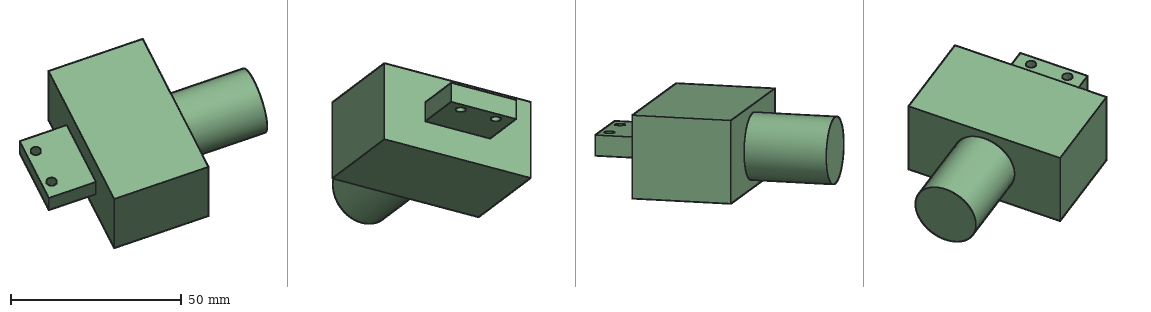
import cadquery as cq

total_length = 70.0

body_width = 50.0
body_length = 30.0
body_height = 25.0

shaft_diameter = 20.0

tab_width = 22.2
tab_length = 15.0
tab_height = 6.2

hole_diameter = 3.0
hole_spacing = 12.0
hole_end_distance = 3.0

shaft_length = total_length - body_length - tab_length
body_front = -body_length / 2
body_back = body_length / 2
tab_end = body_front - tab_length


def make_body():
    return cq.Workplane("XY").box(body_width, body_length, body_height)


def make_shaft():
    plane = cq.Workplane("XZ", origin=(0, body_back, 0))
    return plane.circle(shaft_diameter / 2).extrude(-shaft_length)


def make_tab():
    plane = cq.Workplane("XZ", origin=(0, body_front, 0))
    tab = plane.rect(tab_width, tab_height).extrude(tab_length)
    holes = (
        cq.Workplane("XY", origin=(0, tab_end + hole_end_distance, 0))
        .pushPoints([(-hole_spacing / 2, 0), (hole_spacing / 2, 0)])
        .circle(hole_diameter / 2)
        .extrude(tab_height, both=True)
    )
    return tab.cut(holes)


result = make_body().union(make_shaft()).union(make_tab())